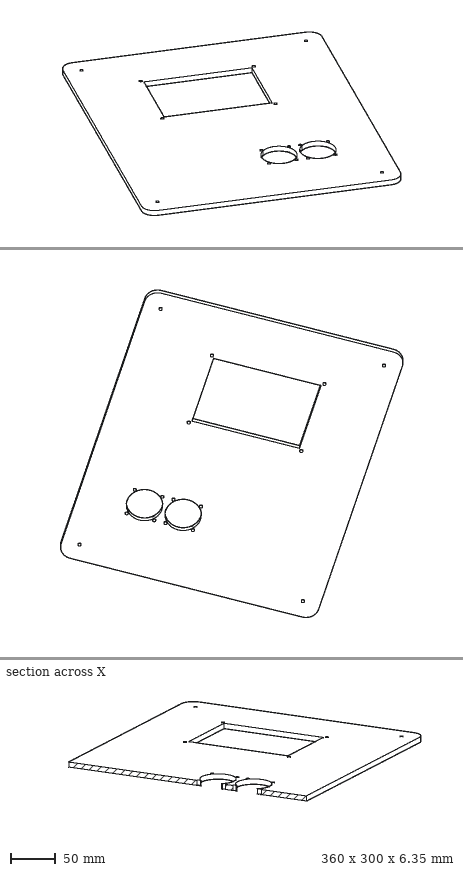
import cadquery as cq

PLATE_LENGTH = 360.0
PLATE_WIDTH = 300.0
PLATE_THICKNESS = 6.35
CORNER_RADIUS = 15.0

SCREW_HOLE_DIAMETER = 3.5

MOUNT_EDGE_DISTANCE = 20.0

WINDOW_CENTER = (-72.5, -7.5)
WINDOW_LENGTH = 85.0
WINDOW_WIDTH = 125.0
WINDOW_SCREW_OFFSET = 3.0

OPENING_DIAMETER = 40.52
OPENING_X = 90.0
OPENING_UPPER_Y = 75.0
OPENING_PITCH = 45.0
OPENING_COUNT = 2
OPENING_SCREW_SPACING = 32.0


def make_plate():
    """Flat plate with rounded vertical corners."""
    plate = cq.Workplane("XY").box(
        PLATE_LENGTH, PLATE_WIDTH, PLATE_THICKNESS, centered=(True, True, False)
    )
    return plate.edges("|Z").fillet(CORNER_RADIUS)


def cut_screw_holes(body, center, spacing_x, spacing_y):
    """Cut four through holes at the corners of a rectangle around center."""
    holes = (
        cq.Workplane("XY")
        .center(*center)
        .rect(spacing_x, spacing_y, forConstruction=True)
        .vertices()
        .circle(SCREW_HOLE_DIAMETER / 2)
        .extrude(PLATE_THICKNESS)
    )
    return body.cut(holes)


def cut_mounting_holes(body):
    """Cut one mounting hole near each plate corner."""
    spacing_x = PLATE_LENGTH - 2 * MOUNT_EDGE_DISTANCE
    spacing_y = PLATE_WIDTH - 2 * MOUNT_EDGE_DISTANCE
    return cut_screw_holes(body, (0, 0), spacing_x, spacing_y)


def cut_window(body):
    """Cut the rectangular window and its four screw holes."""
    window = (
        cq.Workplane("XY")
        .center(*WINDOW_CENTER)
        .rect(WINDOW_LENGTH, WINDOW_WIDTH)
        .extrude(PLATE_THICKNESS)
    )
    spacing_x = WINDOW_LENGTH + 2 * WINDOW_SCREW_OFFSET
    spacing_y = WINDOW_WIDTH + 2 * WINDOW_SCREW_OFFSET
    return cut_screw_holes(body.cut(window), WINDOW_CENTER, spacing_x, spacing_y)


def cut_round_opening(body, center):
    """Cut one round opening and its four screw holes."""
    opening = (
        cq.Workplane("XY")
        .center(*center)
        .circle(OPENING_DIAMETER / 2)
        .extrude(PLATE_THICKNESS)
    )
    return cut_screw_holes(
        body.cut(opening), center, OPENING_SCREW_SPACING, OPENING_SCREW_SPACING
    )


result = make_plate()
result = cut_mounting_holes(result)
result = cut_window(result)
for index in range(OPENING_COUNT):
    opening_y = OPENING_UPPER_Y - index * OPENING_PITCH
    result = cut_round_opening(result, (OPENING_X, opening_y))